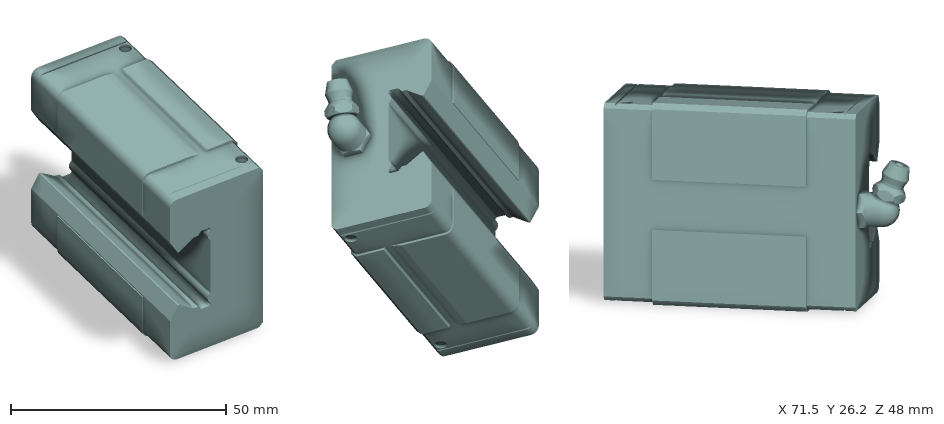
import cadquery as cq
import math


carriage_length = 60.0

block_length = 36.7
block_height = 26.2
block_half_width = 24.0
block_round = 2.2
block_chamfer = 1.3
block_start = (carriage_length - block_length) / 2

cap_bottom = 0.2
cap_top = 25.8
cap_half_width = 23.4
cap_round = 2.0
cap_chamfer = 1.1

side_groove_ramp_start = 13.3
side_groove_floor_start = 16.05
side_groove_floor_end = 17.5
side_groove_top = 17.9

land_inner_half_width = 11.8

relief_half_width = 5.95

lip_mouth_half_width = 11.45
lip_angle = 30.0
lip_tip_y = 2.35
lip_tip_width = 0.35
ledge_start_y = 6.7
ledge_end_y = 7.9
ledge_half_width = 10.4
corner_start_y = 8.8
corner_half_width = 11.45
channel_floor_y = 11.3
corner_chamfer = 0.35
bead_centre_z = 9.2
bead_half_width = 1.35
bead_height = 0.7

scraper_groove_offset = 2.6
scraper_groove_size = 0.5
recess_diameter = 3.0
recess_depth = 0.85
recess_offset = 4.9
recess_y = 23.05

nipple_y = 20.1
base_hex_flats = 8.0
base_hex_length = 1.85
elbow_radius = base_hex_flats / 2
elbow_length = 5.2
head_tilt = 20.5
head_hex_flats = 7.1
head_hex_bottom = 3.15
head_hex_bottom_radius = head_hex_flats / 2
head_hex_edge_start = 3.9
head_hex_edge_end = 4.9
neck_start = 6.5
neck_end = 7.15
neck_radius = 2.8
coupling_height = 8.8
coupling_radius = 3.3
tip_height = 11.7
tip_radius = 2.4
ball_radius = 1.1
ball_rise = 0.3


def corner_radius(flats):
    """Corner radius of a hexagon with the given width across flats."""
    return flats / 2 / math.cos(math.radians(30))


def both_sides(solid):
    """Add the mirror image across Z = 0."""
    return solid.union(solid.mirror("XY"))


def round_middle(y, z, radius):
    """Middle point of the rounded edge whose sharp corner is at (y, z)."""
    inset = radius * (1 - math.sqrt(0.5))
    return (y + inset, z - inset)


def steel_block():
    """Centre block with raised side pads and the rounded and chamfered edges."""
    half = (
        cq.Workplane("YZ", origin=(block_start, 0, 0))
        .moveTo(cap_bottom, 0)
        .lineTo(cap_bottom, land_inner_half_width)
        .lineTo(0, land_inner_half_width)
        .lineTo(0, block_half_width - block_round)
        .threePointArc(
            round_middle(0, block_half_width, block_round),
            (block_round, block_half_width),
        )
        .lineTo(side_groove_ramp_start, block_half_width)
        .lineTo(side_groove_floor_start, cap_half_width)
        .lineTo(side_groove_floor_end, cap_half_width)
        .lineTo(side_groove_top, block_half_width)
        .lineTo(block_height - block_chamfer, block_half_width)
        .lineTo(block_height, block_half_width - block_chamfer)
        .lineTo(block_height, relief_half_width)
        .lineTo(cap_top, relief_half_width)
        .lineTo(cap_top, 0)
        .close()
        .extrude(block_length)
    )
    return both_sides(half)


def end_cap_body():
    """Both end caps as one bar that runs through the steel block."""
    half = (
        cq.Workplane("YZ")
        .moveTo(cap_bottom, 0)
        .lineTo(cap_bottom, cap_half_width - cap_round)
        .threePointArc(
            round_middle(cap_bottom, cap_half_width, cap_round),
            (cap_bottom + cap_round, cap_half_width),
        )
        .lineTo(cap_top - cap_chamfer, cap_half_width)
        .lineTo(cap_top, cap_half_width - cap_chamfer)
        .lineTo(cap_top, 0)
        .close()
        .extrude(carriage_length)
    )
    return both_sides(half)


def rail_channel():
    """Full-length cutter for the rail opening between the two pointed lips."""
    lip_flank_rise = (lip_tip_y - cap_bottom) / math.tan(math.radians(lip_angle))
    lip_tip_half_width = lip_mouth_half_width - lip_flank_rise
    half = (
        cq.Workplane("YZ")
        .moveTo(cap_bottom, 0)
        .lineTo(cap_bottom, lip_mouth_half_width)
        .lineTo(lip_tip_y, lip_tip_half_width)
        .lineTo(lip_tip_y + lip_tip_width, lip_tip_half_width)
        .lineTo(ledge_start_y, ledge_half_width)
        .lineTo(ledge_end_y, ledge_half_width)
        .lineTo(corner_start_y, corner_half_width)
        .lineTo(channel_floor_y - corner_chamfer, corner_half_width)
        .lineTo(channel_floor_y, corner_half_width - corner_chamfer)
        .lineTo(channel_floor_y, bead_centre_z + bead_half_width)
        .threePointArc(
            (channel_floor_y - bead_height, bead_centre_z),
            (channel_floor_y, bead_centre_z - bead_half_width),
        )
        .lineTo(channel_floor_y, 0)
        .close()
        .extrude(carriage_length)
    )
    return both_sides(half)


def scraper_grooves():
    """Triangular grooves, upright on the outer wall, across both sides of the first cap."""
    start = scraper_groove_offset
    floor = cap_half_width - scraper_groove_size
    groove = (
        cq.Workplane("XZ")
        .polyline([
            (start, floor),
            (start + scraper_groove_size, cap_half_width),
            (start, cap_half_width),
        ])
        .close()
        .extrude(-cap_top)
    )
    return both_sides(groove)


def screw_recesses():
    """Shallow round recesses on both sides of the first cap."""
    recess = (
        cq.Workplane("XY", origin=(recess_offset, recess_y, cap_half_width - recess_depth))
        .circle(recess_diameter / 2)
        .extrude(recess_depth)
    )
    return both_sides(recess)


def make_carriage():
    """Block and end caps in one, with mirrored features on both caps."""
    body = steel_block().union(end_cap_body()).cut(rail_channel())
    middle = (carriage_length / 2, 0, 0)
    for feature in (scraper_grooves(), screw_recesses()):
        body = body.cut(feature)
        body = body.cut(feature.mirror("YZ", middle))
    return body


def nipple_base():
    """Hexagon against the carriage, its outer end turned down to the elbow size."""
    corner = corner_radius(base_hex_flats)
    chamfer = corner - elbow_radius
    hexagon = (
        cq.Workplane("YZ")
        .polygon(6, 2 * corner)
        .extrude(-base_hex_length)
    )
    turned = (
        cq.Workplane("YZ")
        .circle(corner)
        .extrude(-base_hex_length)
        .faces("<X")
        .chamfer(chamfer)
    )
    return hexagon.intersect(turned)


def nipple_elbow():
    """Round tube along X that ends in a ball."""
    ball_middle = elbow_radius * math.sqrt(0.5)
    return (
        cq.Workplane("XY")
        .moveTo(0, 0)
        .lineTo(-elbow_length - elbow_radius, 0)
        .threePointArc(
            (-elbow_length - ball_middle, ball_middle),
            (-elbow_length, elbow_radius),
        )
        .lineTo(0, elbow_radius)
        .close()
        .revolve(360, (0, 0), (1, 0))
    )


def head_hexagon():
    """Hexagon under the neck, turned to a cone above and below."""
    corner = corner_radius(head_hex_flats)
    prism = (
        cq.Workplane("XY", origin=(0, 0, head_hex_bottom))
        .polygon(6, 2 * corner)
        .extrude(neck_start - head_hex_bottom)
    )
    double_cone = (
        cq.Workplane("XZ")
        .polyline([
            (0, head_hex_bottom),
            (head_hex_bottom_radius, head_hex_bottom),
            (corner, head_hex_edge_start),
            (corner, head_hex_edge_end),
            (neck_radius, neck_start),
            (0, neck_start),
        ])
        .close()
        .revolve(360, (0, 0), (0, 1))
    )
    return prism.intersect(double_cone)


def turned_head():
    """Neck, flared coupling, tapered tip and the domed valve ball."""
    dome_sphere = (ball_radius**2 + ball_rise**2) / (2 * ball_rise)
    dome_middle_angle = math.asin(ball_radius / dome_sphere) / 2
    dome_middle = (
        dome_sphere * math.sin(dome_middle_angle),
        tip_height + ball_rise - dome_sphere * (1 - math.cos(dome_middle_angle)),
    )
    return (
        cq.Workplane("XZ")
        .moveTo(0, neck_start)
        .lineTo(neck_radius, neck_start)
        .lineTo(neck_radius, neck_end)
        .lineTo(coupling_radius, coupling_height)
        .lineTo(tip_radius, tip_height)
        .lineTo(ball_radius, tip_height)
        .threePointArc(dome_middle, (0, tip_height + ball_rise))
        .close()
        .revolve(360, (0, 0), (0, 1))
    )


def make_nipple():
    """Hexagonal base, elbow and tilted head, standing on the carriage's end face."""
    head = (
        head_hexagon()
        .union(turned_head())
        .rotate((0, 0, 0), (0, 1, 0), -head_tilt)
        .translate((-elbow_length, 0, 0))
    )
    return nipple_base().union(nipple_elbow()).union(head).translate((0, nipple_y, 0))


carriage = make_carriage()
grease_nipple = make_nipple()

result = cq.Compound.makeCompound([carriage.solids().val(), grease_nipple.solids().val()])